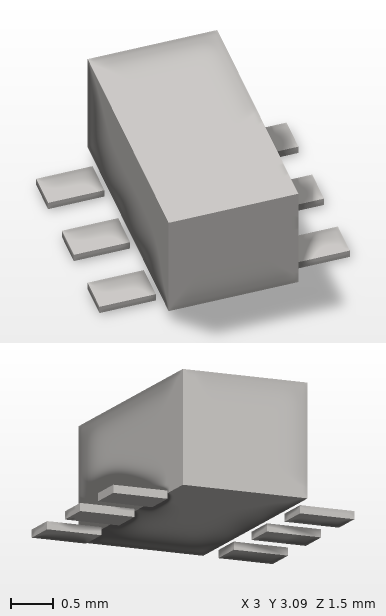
import cadquery as cq

overall_width = 3.0
overall_depth = 3.09
overall_height = 1.5

housing_depth = 1.6

pad_width = 0.442
pad_length = 0.695
pad_thickness = 0.1
pad_pitch = 0.952
pads_per_row = 3

housing_height = overall_height - pad_thickness
row_offset = (overall_depth - pad_length) / 2


def make_housing():
    """Block centred on the origin, its underside level with the pad tops."""
    return (
        cq.Workplane("XY")
        .workplane(offset=pad_thickness)
        .box(overall_width, housing_depth, housing_height, centered=(True, True, False))
    )


def make_pad(x, y):
    """Flat plate resting on Z = 0, centred at (x, y)."""
    return (
        cq.Workplane("XY")
        .center(x, y)
        .box(pad_width, pad_length, pad_thickness, centered=(True, True, False))
    )


housing = make_housing()

pads = []
for side in (-1, 1):
    for index in range(pads_per_row):
        pad_x = (index - (pads_per_row - 1) / 2) * pad_pitch
        pads.append(make_pad(pad_x, side * row_offset))

result = cq.Compound.makeCompound([housing.val(), *[pad.val() for pad in pads]])